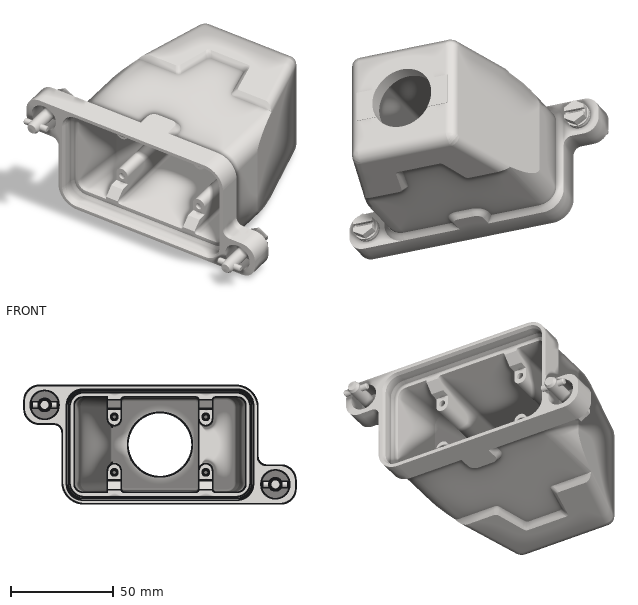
import cadquery as cq
import math


TOLERANCE = 0.1

FLANGE_THICKNESS = 12.1
FLANGE_HALF_X = 47.9
FLANGE_HALF_Z = 29.0
FLANGE_CORNER_R = 10.9
LUG_END_X = 66.5
LUG_INNER_Z = 10.0
LUG_CORNER_R = 7.7
LUG_ROOT_R = 4.0

FLARE = 2.8
BODY_HALF_X = FLANGE_HALF_X - FLARE
BODY_HALF_Z = FLANGE_HALF_Z - FLARE
BODY_CORNER_R = 8.6
TAPER_START_Y = 35.2
TAPER_SLOPE = 0.278
BACK_Y = 99.8
STEP_Y = 57.3
COVER_SIDE_ROUND_R = 4.3
COVER_BACK_ROUND_R = 5.2

NOTCH_END_Y = 76.9
NOTCH_END_HALF_X = 10.1
NOTCH_MOUTH_HALF_X = 15.0
NOTCH_ROUND_R = 2.8

ARCH_HALF_X = 10.5
ARCH_END_Y = 24.7
ARCH_CORNER_R = 6.4

PAD_INNER_X = 13.3
PAD_OUTER_X = 24.2
PAD_HALF_Z = 7.7
PAD_HEIGHT = 0.3

MOUTH_HALF_X = 45.8
MOUTH_HALF_Z = 27.1
MOUTH_CORNER_R = 8.2
MOUTH_BEVEL = 0.8
MOUTH_BEVEL_DEPTH = 1.9
LEDGE_BEVEL = 0.9
LEDGE_BEVEL_DEPTH = 2.0
LEDGE_Y = 8.6

BOSS_X = 22.3
BOSS_HALF_WIDTH = 3.3
BOSS_FACE_Y = 17.7
BOSS_ROUND_Z = 12.6
BOSS_HOLE_Z = 13.5
BOSS_HOLE_MOUTH_R = 1.7
BOSS_HOLE_END_R = 1.2
BOSS_HOLE_DEPTH = 8.0
RAMP_LOW_Z = 17.3
RAMP_BEND_Y = 13.3
RAMP_BEND_Z = 17.7
RAMP_TOP_Z = 22.0

CAVITY_HALF_X = 42.0
CAVITY_HALF_Z = 23.3
CAVITY_BACK_HALF_Z = 22.2
CAVITY_CORNER_R = 4.4
CAVITY_KINK_X = 38.8
CAVITY_KINK_Y = 38.0
SIDE_FLOOR_Y = 45.2
BACK_FLOOR_Y = 91.8
DEEP_WALL_X = BOSS_X - BOSS_HALF_WIDTH
ROOT_ROUND_R = 1.6
FLOOR_ROUND_R = 1.0
CABLE_HOLE_R = 15.7

SCREW_X = 56.4
SCREW_Z = 19.4
SHAFT_R = 3.2
SHAFT_TIP_Y = -10.9
TIP_CHAMFER_LENGTH = 1.5
TIP_CHAMFER = 0.8
POCKET_R = 7.0
POCKET_DEPTH = 9.3
WASHER_R = 6.1
WASHER_THICKNESS = 1.3
WASHER_COUNT = 2
WASHER_GAP = 0.3
WASHER_GAP_R = 5.7
HEAD_ACROSS_FLATS = 10.2
HEAD_HEIGHT = 4.3
SLOT_WIDTH = 1.9
SLOT_DEPTH = 1.7
CROSS_PIN_R = 1.6
CROSS_PIN_HALF_LENGTH = 6.5
CROSS_PIN_Y = -6.9
CROSS_PIN_CHAMFER = 0.4


def back_plane(y, x=0, z=0):
    """Sketch plane at depth y whose extrusions grow toward +Y."""
    return cq.Workplane(cq.Plane(origin=(x, y, z), xDir=(1, 0, 0), normal=(0, 1, 0)))


def edge_box(x_range, y_range):
    """Selector for edges whose middle lies in the given X and Y ranges, at any height."""
    low = (x_range[0], y_range[0], -FLANGE_HALF_Z)
    high = (x_range[1], y_range[1], FLANGE_HALF_Z)
    return cq.selectors.BoxSelector(low, high)


def rounded_prism(y, depth, half_x, half_z, corner_r, taper=0):
    """Rounded rectangle extruded toward +Y, narrowing by the taper angle."""
    sketch = cq.Sketch().rect(2 * half_x, 2 * half_z).vertices().fillet(corner_r)
    return back_plane(y).placeSketch(sketch).extrude(depth, taper=taper)


def body_half_x(y):
    """Outer half width of the tapered body at depth y."""
    return BODY_HALF_X - TAPER_SLOPE * (y - TAPER_START_Y)


def cavity_half_x(y):
    """Inner half width beyond the kink, parallel to the outer taper."""
    return CAVITY_KINK_X - TAPER_SLOPE * (y - CAVITY_KINK_Y)


def make_flange():
    plate = rounded_prism(0, FLANGE_THICKNESS, FLANGE_HALF_X, FLANGE_HALF_Z, FLANGE_CORNER_R)
    lug = (
        cq.Workplane("XY")
        .box(LUG_END_X, FLANGE_THICKNESS, FLANGE_HALF_Z - LUG_INNER_Z, centered=False)
        .translate((0, 0, LUG_INNER_Z))
        .edges("|Y and >X").fillet(LUG_CORNER_R)
    )
    flange = plate
    for angle in (0, 180):
        placed_lug = lug.mirror("XY").rotate((0, 0, 0), (0, 1, 0), angle)
        flange = flange.union(placed_lug)
    for side in (-1, 1):
        root_x = side * FLANGE_HALF_X
        root_z = -side * LUG_INNER_Z
        root = cq.selectors.BoxSelector(
            (root_x - TOLERANCE, 0, root_z - TOLERANCE),
            (root_x + TOLERANCE, FLANGE_THICKNESS, root_z + TOLERANCE),
        )
        flange = flange.edges("|Y").edges(root).fillet(LUG_ROOT_R)
    return flange


def make_core():
    """Lower body with rounded corners, tapered toward the back."""
    block = rounded_prism(0, STEP_Y, BODY_HALF_X, BODY_HALF_Z, BODY_CORNER_R)
    end_x = body_half_x(BACK_Y)
    taper = (
        cq.Workplane("XY")
        .polyline([
            (-BODY_HALF_X, 0), (BODY_HALF_X, 0), (BODY_HALF_X, TAPER_START_Y),
            (end_x, BACK_Y), (-end_x, BACK_Y), (-BODY_HALF_X, TAPER_START_Y),
        ])
        .close()
        .extrude(FLANGE_HALF_Z, both=True)
    )
    return block.intersect(taper)


def notch_outline(workplane, shift):
    """Notch edge moved outward by shift on every side."""
    far_x = 2 * BODY_HALF_X
    slope = (NOTCH_MOUTH_HALF_X - NOTCH_END_HALF_X) / (NOTCH_END_Y - STEP_Y)
    widening = shift * (math.hypot(1, slope) - slope)
    mouth_x = NOTCH_MOUTH_HALF_X + widening
    end_x = NOTCH_END_HALF_X + widening
    step_y = STEP_Y + shift
    end_y = NOTCH_END_Y + shift
    return workplane.polyline([
        (-far_x, TAPER_START_Y), (far_x, TAPER_START_Y), (far_x, step_y), (mouth_x, step_y),
        (end_x, end_y), (-end_x, end_y), (-mouth_x, step_y), (-far_x, step_y),
    ]).close()


def make_notch():
    """Cutter with 45 degree walls that shapes the front edge of the upper cover face."""
    lower = notch_outline(cq.Workplane("XY", origin=(0, 0, BODY_HALF_Z)), 0)
    cutter = notch_outline(lower.workplane(offset=FLARE), FLARE).loft(ruled=True)
    wall_corners = cq.selectors.BoxSelector(
        (-BODY_HALF_X / 2, STEP_Y, BODY_HALF_Z), (BODY_HALF_X / 2, BACK_Y, FLANGE_HALF_Z)
    )
    return cutter.edges("not(#Z or |Z)").edges(wall_corners).fillet(NOTCH_ROUND_R)


def make_cover():
    """Thicker rounded back part of the body."""
    front_x = body_half_x(STEP_Y)
    end_x = body_half_x(BACK_Y)
    cover = (
        cq.Workplane("XY")
        .polyline([(-front_x, STEP_Y), (front_x, STEP_Y), (end_x, BACK_Y), (-end_x, BACK_Y)])
        .close()
        .extrude(FLANGE_HALF_Z, both=True)
        .faces(">Y").edges().fillet(COVER_BACK_ROUND_R)
        .faces(">Z or <Z").edges("not(|X)").fillet(COVER_SIDE_ROUND_R)
    )
    notch = make_notch()
    return cover.cut(notch).cut(notch.mirror("XY"))


def make_arch():
    """Raised arch on the upper side, with 45 degree walls."""
    sketch = (
        cq.Sketch()
        .push([(0, ARCH_END_Y / 2)])
        .rect(2 * ARCH_HALF_X, ARCH_END_Y)
        .reset().vertices(">Y").fillet(ARCH_CORNER_R)
    )
    return (
        cq.Workplane("XY", origin=(0, 0, BODY_HALF_Z))
        .placeSketch(sketch)
        .extrude(FLARE, taper=45)
    )


def make_pads():
    width = PAD_OUTER_X - PAD_INNER_X
    centre_x = (PAD_OUTER_X + PAD_INNER_X) / 2
    return (
        back_plane(BACK_Y)
        .pushPoints([(-centre_x, 0), (centre_x, 0)])
        .rect(width, 2 * PAD_HALF_Z)
        .extrude(PAD_HEIGHT)
    )


def make_mouth():
    """Recess that narrows in two bevels down to the ledge."""
    bevel_angle = math.degrees(math.atan(MOUTH_BEVEL / MOUTH_BEVEL_DEPTH))
    ledge_angle = math.degrees(math.atan(LEDGE_BEVEL / LEDGE_BEVEL_DEPTH))
    half_x = MOUTH_HALF_X - MOUTH_BEVEL
    half_z = MOUTH_HALF_Z - MOUTH_BEVEL
    corner_r = MOUTH_CORNER_R - MOUTH_BEVEL
    ledge_bevel_y = LEDGE_Y - LEDGE_BEVEL_DEPTH
    entry = rounded_prism(0, MOUTH_BEVEL_DEPTH, MOUTH_HALF_X, MOUTH_HALF_Z, MOUTH_CORNER_R, bevel_angle)
    straight = rounded_prism(0, ledge_bevel_y, half_x, half_z, corner_r)
    end = rounded_prism(ledge_bevel_y, LEDGE_BEVEL_DEPTH, half_x, half_z, corner_r, ledge_angle)
    return entry.union(straight).union(end)


def make_boss():
    """Boss hanging from the upper cavity wall at X = 0, with a ramp running out to the ledge."""
    root_z = BODY_HALF_Z - 1.3
    column = (
        cq.Workplane("XZ", origin=(0, BOSS_FACE_Y, 0))
        .moveTo(-BOSS_HALF_WIDTH, root_z)
        .lineTo(-BOSS_HALF_WIDTH, BOSS_ROUND_Z)
        .threePointArc((0, BOSS_ROUND_Z - BOSS_HALF_WIDTH), (BOSS_HALF_WIDTH, BOSS_ROUND_Z))
        .lineTo(BOSS_HALF_WIDTH, root_z)
        .close()
        .extrude(BOSS_FACE_Y - BACK_FLOOR_Y - 0.7)
    )
    ramp = (
        cq.Workplane("YZ")
        .polyline([
            (BOSS_FACE_Y, RAMP_LOW_Z), (RAMP_BEND_Y, RAMP_BEND_Z), (LEDGE_Y, RAMP_TOP_Z),
            (LEDGE_Y, root_z), (BOSS_FACE_Y, root_z),
        ])
        .close()
        .extrude(BOSS_HALF_WIDTH, both=True)
    )
    hole_taper = math.degrees(math.atan((BOSS_HOLE_MOUTH_R - BOSS_HOLE_END_R) / BOSS_HOLE_DEPTH))
    hole = (
        back_plane(BOSS_FACE_Y, 0, BOSS_HOLE_Z)
        .circle(BOSS_HOLE_MOUTH_R)
        .extrude(BOSS_HOLE_DEPTH, taper=hole_taper)
    )
    return column.union(ramp).cut(hole)


def drafted_chamber(plan_points):
    """Space with the given XY plan whose upper and lower walls converge toward the back."""
    plan = cq.Workplane("XY").polyline(plan_points).close().extrude(FLANGE_HALF_Z, both=True)
    drafted_slab = (
        cq.Workplane("YZ")
        .polyline([
            (LEDGE_Y, CAVITY_HALF_Z), (BACK_FLOOR_Y, CAVITY_BACK_HALF_Z),
            (BACK_FLOOR_Y, -CAVITY_BACK_HALF_Z), (LEDGE_Y, -CAVITY_HALF_Z),
        ])
        .close()
        .extrude(CAVITY_HALF_X, both=True)
    )
    return plan.intersect(drafted_slab)


def cut_bosses(chamber, x):
    """Leave out the upper and lower boss at x from a chamber."""
    boss = make_boss().translate((x, 0, 0))
    return chamber.cut(boss).cut(boss.mirror("XY"))


def round_lengthwise(chamber, x_range, radius):
    """Round the chamber corners that run from front to back within an X range."""
    corners = edge_box(x_range, (LEDGE_Y, BACK_FLOOR_Y))
    return chamber.edges(corners).edges("not(|X or |Z)").fillet(radius)


def make_deep_chamber():
    """Middle and -X part of the cavity, reaching to the back floor."""
    chamber = drafted_chamber([
        (-CAVITY_HALF_X, LEDGE_Y), (DEEP_WALL_X, LEDGE_Y), (DEEP_WALL_X, BACK_FLOOR_Y),
        (-cavity_half_x(BACK_FLOOR_Y), BACK_FLOOR_Y), (-CAVITY_KINK_X, CAVITY_KINK_Y),
    ])
    chamber = round_lengthwise(chamber, (-CAVITY_HALF_X, 0), CAVITY_CORNER_R)
    chamber = round_lengthwise(chamber, (0, CAVITY_HALF_X), ROOT_ROUND_R)
    chamber = cut_bosses(chamber, -BOSS_X)
    boss_side_x = BOSS_HALF_WIDTH - BOSS_X
    root = edge_box((boss_side_x - TOLERANCE, boss_side_x + TOLERANCE), (BOSS_FACE_Y, BACK_FLOOR_Y - 1.3))
    chamber = chamber.edges(root).edges("not(|X or |Z or |Y)").fillet(ROOT_ROUND_R)
    return chamber.faces(">Y").edges().fillet(FLOOR_ROUND_R)


def make_side_chamber():
    """+X part of the cavity, closed by a shallower floor."""
    chamber = drafted_chamber([
        (DEEP_WALL_X, LEDGE_Y), (CAVITY_HALF_X, LEDGE_Y), (CAVITY_KINK_X, CAVITY_KINK_Y),
        (cavity_half_x(SIDE_FLOOR_Y), SIDE_FLOOR_Y), (DEEP_WALL_X, SIDE_FLOOR_Y),
    ])
    chamber = round_lengthwise(chamber, (BOSS_X, CAVITY_HALF_X), CAVITY_CORNER_R)
    chamber = cut_bosses(chamber, BOSS_X)
    boss_side_x = BOSS_X + BOSS_HALF_WIDTH
    root = edge_box((boss_side_x - TOLERANCE, boss_side_x + TOLERANCE), (BOSS_FACE_Y, SIDE_FLOOR_Y - 1.3))
    chamber = chamber.edges(root).edges("not(|X or |Z or |Y)").fillet(ROOT_ROUND_R)
    floor_rim = edge_box(
        (DEEP_WALL_X + TOLERANCE, CAVITY_HALF_X), (SIDE_FLOOR_Y - TOLERANCE, SIDE_FLOOR_Y + TOLERANCE)
    )
    return chamber.edges(floor_rim).fillet(FLOOR_ROUND_R)


def make_housing():
    housing = make_flange()
    skirt = rounded_prism(FLANGE_THICKNESS, FLARE, FLANGE_HALF_X, FLANGE_HALF_Z, FLANGE_CORNER_R, 45)
    arch = make_arch()
    for addition in (skirt, make_core(), make_cover(), arch, arch.mirror("XY"), make_pads()):
        housing = housing.union(addition)
    cable_hole = back_plane(LEDGE_Y).circle(CABLE_HOLE_R).extrude(BACK_Y)
    housing = housing.cut(make_mouth()).cut(make_deep_chamber()).cut(make_side_chamber()).cut(cable_hole)
    for side in (-1, 1):
        pocket = back_plane(0, side * SCREW_X, -side * SCREW_Z).circle(POCKET_R).extrude(POCKET_DEPTH)
        bore = back_plane(0, side * SCREW_X, -side * SCREW_Z).circle(SHAFT_R).extrude(FLANGE_THICKNESS)
        housing = housing.cut(pocket).cut(bore)
    return housing


def make_screw(x, z):
    """Slotted hex screw with captive washers and a bayonet cross pin."""
    screw = (
        back_plane(SHAFT_TIP_Y).circle(SHAFT_R).extrude(FLANGE_THICKNESS - SHAFT_TIP_Y)
        .faces("<Y").chamfer(TIP_CHAMFER_LENGTH, TIP_CHAMFER)
    )
    pitch = WASHER_THICKNESS + WASHER_GAP
    for index in range(WASHER_COUNT):
        washer = back_plane(FLANGE_THICKNESS + index * pitch).circle(WASHER_R).extrude(WASHER_THICKNESS)
        screw = screw.union(washer)
    head_y = FLANGE_THICKNESS + WASHER_COUNT * pitch - WASHER_GAP
    spacer = back_plane(FLANGE_THICKNESS).circle(WASHER_GAP_R).extrude(head_y - FLANGE_THICKNESS)
    across_corners = HEAD_ACROSS_FLATS / math.cos(math.pi / 6)
    head = (
        back_plane(head_y).polygon(6, across_corners).extrude(HEAD_HEIGHT)
        .rotate((0, 0, 0), (0, 1, 0), 30)
    )
    slot = (
        cq.Workplane("XY")
        .box(2 * across_corners, 2 * SLOT_DEPTH, SLOT_WIDTH)
        .translate((0, head_y + HEAD_HEIGHT, 0))
    )
    cross_pin = (
        cq.Workplane("YZ", origin=(0, CROSS_PIN_Y, 0))
        .circle(CROSS_PIN_R)
        .extrude(CROSS_PIN_HALF_LENGTH, both=True)
        .faces("|X").chamfer(CROSS_PIN_CHAMFER)
    )
    screw = screw.union(spacer).union(head.cut(slot)).union(cross_pin)
    return screw.translate((x, 0, z))


housing = make_housing()
screws = [make_screw(side * SCREW_X, -side * SCREW_Z) for side in (-1, 1)]

result = cq.Compound.makeCompound([housing.val(), *[screw.val() for screw in screws]])